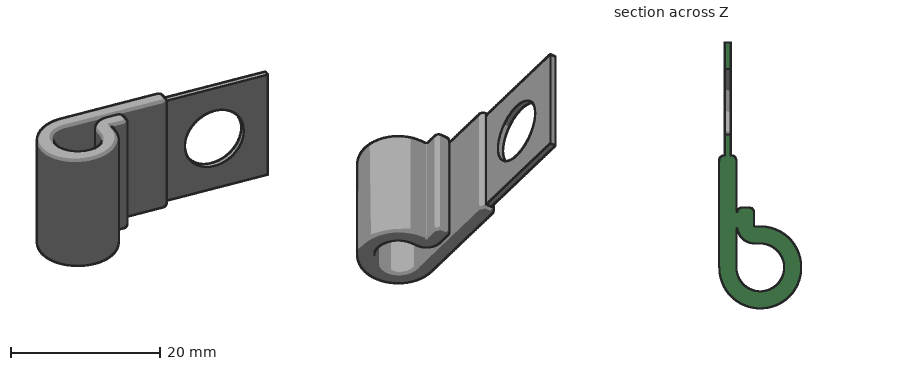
import cadquery as cq

outer_radius = 5.53
band_thickness = 2.35
band_width = 17.4
edge_round = 0.75
clamp_leg_length = 15.05
overall_length = 35.7
hole_diameter = 8.75
lip_offset = 0.75
bend_inner_radius = 0.05
lip_length = 2.5

middle_radius = outer_radius - band_thickness / 2
plate_thickness = band_thickness - 2 * edge_round
plate_width = band_width - 2 * edge_round
plate_end = overall_length - outer_radius
hole_y = plate_end - plate_width / 2


def band_section(plane, center):
    """Rounded rectangular cross-section of the band, centred on a plane's local X axis."""
    outline = cq.Sketch().rect(band_thickness, band_width).vertices().fillet(edge_round)
    return cq.Workplane(plane).center(center, 0).placeSketch(outline)


def straight_leg(center_x, start_y, length):
    """Straight band running in +Y, with a rounded free end."""
    return (
        cq.Workplane("XY")
        .box(band_thickness, length, band_width, centered=(True, False, True))
        .edges("not <Y")
        .fillet(edge_round)
        .translate((center_x, start_y, 0))
    )


section_plane = cq.Plane(origin=(0, 0, 0), xDir=(1, 0, 0), normal=(0, -1, 0))
loop = (
    band_section(section_plane, -middle_radius)
    .revolve(270, (middle_radius, 0, 0), (middle_radius, 1, 0))
)

run_plane = cq.Plane(origin=(0, 0, 0), xDir=(0, 1, 0), normal=(-1, 0, 0))
lip_run = band_section(run_plane, middle_radius).extrude(lip_offset)

bend_axis_y = outer_radius + bend_inner_radius
bend_middle_radius = bend_inner_radius + band_thickness / 2
bend_plane = cq.Plane(origin=(-lip_offset, bend_axis_y, 0), xDir=(1, 0, 0), normal=(0, -1, 0))
lip_bend = (
    band_section(bend_plane, -bend_middle_radius)
    .revolve(90, (bend_middle_radius, 0, 0), (bend_middle_radius, 1, 0))
)

lip = straight_leg(-lip_offset - bend_middle_radius, bend_axis_y, lip_length)
clamp_leg = straight_leg(-middle_radius, 0, clamp_leg_length)

plate = (
    cq.Workplane("XY")
    .box(plate_thickness, plate_end, plate_width, centered=(True, False, True))
    .translate((-middle_radius, 0, 0))
)
screw_hole = (
    cq.Workplane("YZ", origin=(-middle_radius, hole_y, 0))
    .circle(hole_diameter / 2)
    .extrude(plate_thickness, both=True)
)

result = loop.union(lip_run).union(lip_bend).union(lip).union(clamp_leg).union(plate).cut(screw_hole)